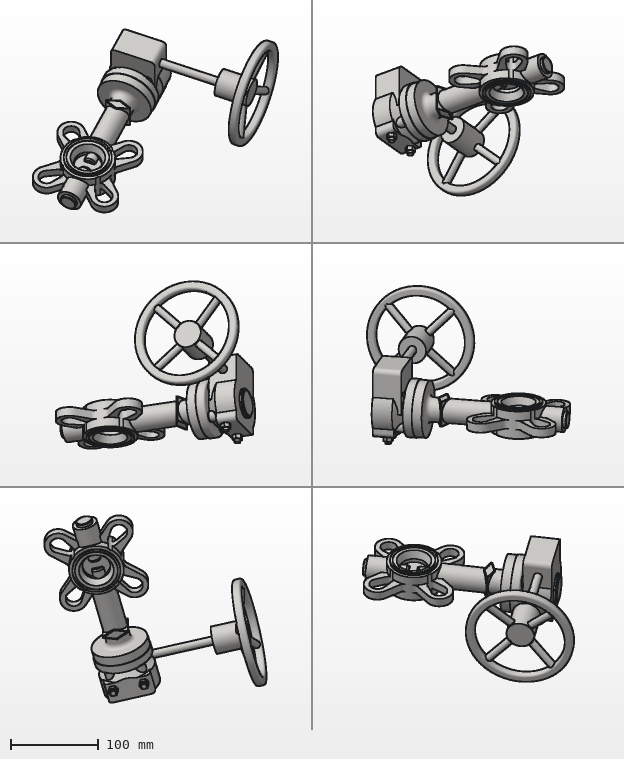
import cadquery as cq
import math

X_DIR = cq.Vector(1, 0, 0)
Y_DIR = cq.Vector(0, 1, 0)
Z_DIR = cq.Vector(0, 0, 1)

RING_RADIUS = 62.5 / 2
RING_HALF_HEIGHT = 16.5
FACE_HALF_HEIGHT = 18.3
FACE_RADIUS = 27.5
RECESS_RADIUS = 24.5
RECESS_DEPTH = 1.0
BORE_MOUTH_RADIUS = 20.0
THROAT_RADIUS = 32.0 / 2
THROAT_HALF_HEIGHT = 7.5
DISC_HALF_THICKNESS = 3.0

STUB_RADIUS = 7.8
STUB_HALF_GAP = 4.8
STUB_CENTRE_Y = -0.8
STUB_CHAMFER_LENGTH = 2.5
STUB_CHAMFER_WIDTH = 1.0

NECK_RADIUS = 14.2
NECK_BOTTOM_Y = -53.7
END_PLUG_RADIUS = 19.0 / 2
END_PLUG_Y = -57.7
END_PLUG_CHAMFER = 0.8

FLANGE_BOTTOM_Y = 105.8
FLANGE_JOINT_Y = 117.0
FLANGE_RADIUS = 33.0
NECK_FILLET = 5.6

LUG_OFFSET = 35.7
LUG_RADIUS = 15.8
LUG_HALF_HEIGHT = 5.5
LUG_ROOT_FILLET = 6.2
LUG_ANGLES = [45, 135, 225, 315]
SLOT_OUTER_RADIUS = 9.5
SLOT_INNER_RADIUS = 11.5 / 2
SLOT_INNER_DISTANCE = 36.2

BADGE_Y = 87.3
BADGE_HALF_WIDTH = 29.8 / 2
BADGE_HALF_LENGTH = 6.7
BADGE_HALF_HEIGHT = 29.8 / 2
BADGE_TIP = 0.8
BADGE_RIM = 1.0
BADGE_RECESS = 0.3

MOUNT_RADIUS = 33.8
MOUNT_TOP_Y = 128.0
MOUNT_FILLET = 2.5
BOX_HALF_WIDTH = 54.5 / 2
BOX_FRONT_Y = 131.0
BOX_BACK_Y = 164.3
BOX_TOP_Z = 52.4
BOX_BOTTOM_Z = -30.0
BOX_CORNER = 6.0
LOWER_BOX_FRONT_Y = 139.5
DRUM_RADIUS = FLANGE_RADIUS
DRUM_FRONT_Y = 140.5
BOLT_OFFSET = 17.5
BOLT_RADIUS = 6.5
BOLT_FOOT_RADIUS = 5.5
BOLT_FOOT_HEIGHT = 0.8
COVER_RADIUS = 17.2
COVER_Y = 166.5
CAP_RADIUS = 14.8
CAP_Y = 168.3

SCREW_OFFSET_X = 36.2 / 2
NUT_ACROSS_CORNERS = 11.5
NUT_BOTTOM_Z = -35.2
SCREW_RADIUS = 6.7 / 2
SCREW_BOTTOM_Z = -38.5

SHAFT_RADIUS = 10.0 / 2
HUB_START_X = 100.5
HUB_END_X = 139.5
HUB_RADIUS = 16.0
WHEEL_RADIUS = 124.9 / 2
WHEEL_BACK_Y = 210.8
WHEEL_TOP_Z = 96.5
WHEEL_Y = WHEEL_BACK_Y - WHEEL_RADIUS
WHEEL_Z = WHEEL_TOP_Z - WHEEL_RADIUS
WHEEL_END_X = 147.0
RIM_WIDTH = 10.2
RIM_DEPTH = 10.2
RIM_FILLET = 2.7
SPOKE_COUNT = 4
FIRST_SPOKE_ANGLE = 45
SPOKE_RADIUS = 4.5
SPOKE_ROOT_X = 132.0
SPOKE_ROOT_DISTANCE = 8.0
SPOKE_TIP_DISTANCE = 59.0


def y_cylinder(radius, start_y, end_y, x=0, z=0):
    """Cylinder along Y between two Y positions."""
    return cq.Workplane(cq.Solid.makeCylinder(radius, end_y - start_y, cq.Vector(x, start_y, z), Y_DIR))


def revolve_about_y(points):
    """Solid of revolution about Y from (radius, y) points."""
    return cq.Workplane("XY").polyline(points).close().revolve(360, (0, 0, 0), (0, 1, 0))


def z_cylinder(radius, half_height):
    """Cylinder on the bore axis, centred on the origin."""
    return cq.Workplane("XY").circle(radius).extrude(half_height, both=True)


def lug(angle):
    """Mounting lug along +X, turned about the bore axis."""
    distance = LUG_OFFSET * math.sqrt(2)
    arm = cq.Workplane("XY").center(distance / 2, 0).rect(distance, 2 * LUG_RADIUS)
    arm = arm.extrude(LUG_HALF_HEIGHT, both=True)
    tip = cq.Workplane("XY").center(distance, 0).circle(LUG_RADIUS).extrude(LUG_HALF_HEIGHT, both=True)
    return arm.union(tip).rotate((0, 0, 0), (0, 0, 1), angle)


def lug_slot(angle):
    """Tapered bolt slot: two arcs joined by their outer tangents, cut through the full ring height."""
    outer_x = LUG_OFFSET * math.sqrt(2)
    lean = (SLOT_OUTER_RADIUS - SLOT_INNER_RADIUS) / (outer_x - SLOT_INNER_DISTANCE)
    rise = math.sqrt(1 - lean ** 2)
    inner_tangent = (SLOT_INNER_DISTANCE - SLOT_INNER_RADIUS * lean, SLOT_INNER_RADIUS * rise)
    outer_tangent = (outer_x - SLOT_OUTER_RADIUS * lean, SLOT_OUTER_RADIUS * rise)
    slot = (
        cq.Workplane("XY")
        .moveTo(*inner_tangent)
        .lineTo(*outer_tangent)
        .threePointArc((outer_x + SLOT_OUTER_RADIUS, 0), (outer_tangent[0], -outer_tangent[1]))
        .lineTo(inner_tangent[0], -inner_tangent[1])
        .threePointArc((SLOT_INNER_DISTANCE - SLOT_INNER_RADIUS, 0), inner_tangent)
        .close()
        .extrude(FACE_HALF_HEIGHT, both=True)
    )
    return slot.rotate((0, 0, 0), (0, 0, 1), angle)


def bore():
    """Through bore: a recess and a cone on each side, with a straight throat between the cones."""
    recess_z = FACE_HALF_HEIGHT - RECESS_DEPTH
    upper = [
        (THROAT_RADIUS, THROAT_HALF_HEIGHT),
        (BORE_MOUTH_RADIUS, recess_z),
        (RECESS_RADIUS, recess_z),
        (RECESS_RADIUS, FACE_HALF_HEIGHT),
        (0, FACE_HALF_HEIGHT),
    ]
    lower = [(radius, -z) for radius, z in reversed(upper)]
    return cq.Workplane("XZ").polyline(upper + lower).close().revolve(360, (0, 0, 0), (0, 1, 0))


def stem_stub(side):
    """Chamfered end of the stem that reaches over the disc, on the +Y (1) or -Y (-1) side."""
    end_y = STUB_CENTRE_Y + side * STUB_HALF_GAP
    shoulder_y = end_y + side * STUB_CHAMFER_LENGTH
    root_y = side * RECESS_RADIUS
    return revolve_about_y([
        (0, end_y),
        (STUB_RADIUS - STUB_CHAMFER_WIDTH, end_y),
        (STUB_RADIUS, shoulder_y),
        (STUB_RADIUS, root_y),
        (0, root_y),
    ])


def neck():
    """Stem neck through both sides of the ring, with its end plug and top flange."""
    tube = y_cylinder(NECK_RADIUS, NECK_BOTTOM_Y, FLANGE_JOINT_Y)
    flange = y_cylinder(FLANGE_RADIUS, FLANGE_BOTTOM_Y, FLANGE_JOINT_Y)
    fillet_flare = (
        cq.Workplane("XY")
        .moveTo(0, FLANGE_BOTTOM_Y - NECK_FILLET)
        .lineTo(NECK_RADIUS, FLANGE_BOTTOM_Y - NECK_FILLET)
        .radiusArc((NECK_RADIUS + NECK_FILLET, FLANGE_BOTTOM_Y), NECK_FILLET)
        .lineTo(0, FLANGE_BOTTOM_Y)
        .close()
        .revolve(360, (0, 0, 0), (0, 1, 0))
    )
    plug = y_cylinder(END_PLUG_RADIUS, END_PLUG_Y, NECK_BOTTOM_Y).faces("<Y").chamfer(END_PLUG_CHAMFER)
    return tube.union(flange).union(fillet_flare).union(plug)


def badge_outline():
    """Diamond with blunted side corners, centred on the badge position."""
    return cq.Workplane("XY").center(0, BADGE_Y).polyline([
        (0, BADGE_HALF_LENGTH),
        (BADGE_HALF_WIDTH, BADGE_TIP),
        (BADGE_HALF_WIDTH, -BADGE_TIP),
        (0, -BADGE_HALF_LENGTH),
        (-BADGE_HALF_WIDTH, -BADGE_TIP),
        (-BADGE_HALF_WIDTH, BADGE_TIP),
    ]).close()


def badge():
    """Diamond block through the neck with a shallow recess inside a thin rim at each end."""
    block = badge_outline().extrude(BADGE_HALF_HEIGHT, both=True)
    core = badge_outline().offset2D(-BADGE_RIM).extrude(BADGE_HALF_HEIGHT, both=True)
    waist = badge_outline().extrude(BADGE_HALF_HEIGHT - BADGE_RECESS, both=True)
    return block.cut(core).union(waist)


def ring_with_lugs():
    """Valve ring with four lugs, filleted where the lug sides nearest the X axis meet the ring."""
    body = z_cylinder(RING_RADIUS, RING_HALF_HEIGHT)
    for angle in LUG_ANGLES:
        body = body.union(lug(angle))
    near_y = RING_RADIUS / 10
    far_y = RING_RADIUS / 2
    for low_y, high_y in ((-far_y, -near_y), (near_y, far_y)):
        root_region = cq.selectors.BoxSelector(
            (-RING_RADIUS, low_y, -LUG_HALF_HEIGHT),
            (RING_RADIUS, high_y, LUG_HALF_HEIGHT),
        )
        body = body.edges("|Z").edges(root_region).fillet(LUG_ROOT_FILLET)
    return body


def build_valve():
    """Valve body with its lugs, neck, badge, bore, disc and stem ends."""
    body = ring_with_lugs().union(z_cylinder(FACE_RADIUS, FACE_HALF_HEIGHT))
    body = body.union(neck()).union(badge())
    for angle in LUG_ANGLES:
        body = body.cut(lug_slot(angle))
    body = body.cut(bore())
    body = body.union(z_cylinder(THROAT_RADIUS, DISC_HALF_THICKNESS))
    for side in (1, -1):
        body = body.union(stem_stub(side))
    return body


def gearbox():
    """Rounded box, its round drum with a 45 degree nose, mounting flange and rear covers."""
    box_height = BOX_TOP_Z - BOX_BOTTOM_Z
    box = cq.Workplane("XY").box(2 * BOX_HALF_WIDTH, BOX_BACK_Y - BOX_FRONT_Y, box_height)
    box = box.edges("|Y").fillet(BOX_CORNER)
    box = box.translate((0, (BOX_FRONT_Y + BOX_BACK_Y) / 2, BOX_BOTTOM_Z + box_height / 2))
    relief_depth = LOWER_BOX_FRONT_Y - BOX_FRONT_Y
    relief = cq.Workplane("XY").box(2 * BOX_HALF_WIDTH, relief_depth, box_height)
    box = box.cut(relief.translate((0, BOX_FRONT_Y + relief_depth / 2, -box_height / 2)))

    nose_length = DRUM_FRONT_Y - MOUNT_TOP_Y
    drum = revolve_about_y([
        (0, BOX_BACK_Y),
        (DRUM_RADIUS, BOX_BACK_Y),
        (DRUM_RADIUS, DRUM_FRONT_Y),
        (DRUM_RADIUS - nose_length, MOUNT_TOP_Y),
        (0, MOUNT_TOP_Y),
    ])
    drum_length = BOX_BACK_Y - MOUNT_TOP_Y
    below_box = cq.Workplane("XY").workplane(offset=BOX_BOTTOM_Z).center(0, MOUNT_TOP_Y + drum_length / 2)
    drum = drum.cut(below_box.rect(2 * DRUM_RADIUS, drum_length).extrude(-DRUM_RADIUS))

    mount = y_cylinder(MOUNT_RADIUS, FLANGE_JOINT_Y, MOUNT_TOP_Y).faces(">Y").edges().fillet(MOUNT_FILLET)
    body = box.union(drum).union(mount)
    for x in (-BOLT_OFFSET, BOLT_OFFSET):
        for z in (-BOLT_OFFSET, BOLT_OFFSET):
            bolt = y_cylinder(BOLT_RADIUS, MOUNT_TOP_Y + BOLT_FOOT_HEIGHT, DRUM_FRONT_Y, x, z)
            foot = y_cylinder(BOLT_FOOT_RADIUS, MOUNT_TOP_Y, DRUM_FRONT_Y, x, z)
            body = body.union(bolt).union(foot)
    body = body.union(y_cylinder(COVER_RADIUS, BOX_BACK_Y, COVER_Y))
    return body.union(y_cylinder(CAP_RADIUS, COVER_Y, CAP_Y))


def stop_screw(x):
    """Stop screw with a hexagonal lock nut under the gearbox."""
    underside = cq.Workplane("XY").workplane(offset=BOX_BOTTOM_Z).center(x, WHEEL_Y)
    nut = underside.polygon(6, NUT_ACROSS_CORNERS).extrude(NUT_BOTTOM_Z - BOX_BOTTOM_Z)
    screw = underside.circle(SCREW_RADIUS).extrude(SCREW_BOTTOM_Z - BOX_BOTTOM_Z)
    return nut.union(screw)


def x_cylinder(radius, start_x, end_x):
    """Cylinder on the handwheel axis between two X positions."""
    start = cq.Vector(start_x, WHEEL_Y, WHEEL_Z)
    return cq.Workplane(cq.Solid.makeCylinder(radius, end_x - start_x, start, X_DIR))


def spoke(angle):
    """Round spoke leaning outward from the hub to the middle of the rim."""
    radial = Y_DIR * math.cos(angle) + Z_DIR * math.sin(angle)
    axis_point = cq.Vector(0, WHEEL_Y, WHEEL_Z)
    root = axis_point + X_DIR * SPOKE_ROOT_X + radial * SPOKE_ROOT_DISTANCE
    tip = axis_point + X_DIR * (WHEEL_END_X - RIM_WIDTH / 2) + radial * SPOKE_TIP_DISTANCE
    along = tip - root
    return cq.Workplane(cq.Solid.makeCylinder(SPOKE_RADIUS, along.Length, root, along))


def handwheel():
    """Input shaft, hub, rim and spokes."""
    shaft = x_cylinder(SHAFT_RADIUS, 0, HUB_START_X)
    hub = x_cylinder(HUB_RADIUS, HUB_START_X, HUB_END_X)
    rim_start_x = WHEEL_END_X - RIM_WIDTH
    rim = x_cylinder(WHEEL_RADIUS, rim_start_x, WHEEL_END_X)
    rim = rim.cut(x_cylinder(WHEEL_RADIUS - RIM_DEPTH, rim_start_x, WHEEL_END_X))
    rim = rim.faces("<X or >X").edges().fillet(RIM_FILLET)
    wheel = shaft.union(hub).union(rim)
    for index in range(SPOKE_COUNT):
        wheel = wheel.union(spoke(math.radians(FIRST_SPOKE_ANGLE + index * 360 / SPOKE_COUNT)))
    return wheel


def build_operator():
    """Gearbox with its handwheel and stop screws."""
    body = gearbox().union(handwheel())
    for x in (-SCREW_OFFSET_X, SCREW_OFFSET_X):
        body = body.union(stop_screw(x))
    return body


valve = build_valve()
operator = build_operator()
result = cq.Compound.makeCompound([valve.solids().val(), operator.solids().val()])